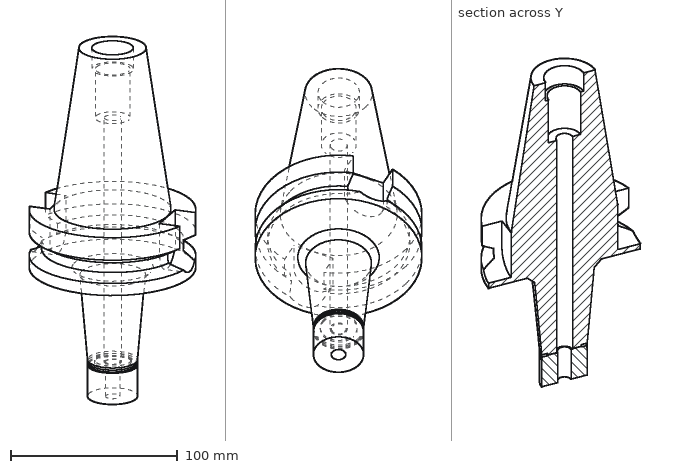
import cadquery as cq
import math

total_length = 221.8

shank_top_radius = 20.2
shank_base_radius = 35.0
taper_length = 101.8
gauge_z = total_length - taper_length
land_height = 1.0

flange_radius = 50.02
flange_top_z = gauge_z - land_height
flange_bottom_z = gauge_z - 38.0
groove_root_radius = 42.5
groove_root_bottom_z = 94.0
groove_root_top_z = 100.3
groove_flank_angle = 30.0
groove_flank_height = (flange_radius - groove_root_radius) * math.tan(math.radians(groove_flank_angle))

slot_width = 26.0
slot_floor_x = 35.3
slot_arc_center_z = 99.1

nose_base_radius = 19.7
nose_collar_height = 4.7
nose_collar_radius = nose_base_radius + nose_collar_height
nose_collar_bottom_z = flange_bottom_z - nose_collar_height
nose_bottom_z = 23.3
neck_radius = 11.0

nut_radius = 15.0
nut_height = 22.0
nut_bore_radius = 4.33
nut_groove_top_z = 20.6
nut_groove_width = 0.7
nut_groove_depth = 0.2

counterbore_radius = 12.5
counterbore_depth = 13.3
thread_bore_radius = 10.5
thread_bore_depth = 44.4
through_bore_radius = 5.0


def cylinder(radius, bottom_z, top_z):
    """Cylinder on the Z axis between two heights."""
    return cq.Workplane("XY").workplane(offset=bottom_z).circle(radius).extrude(top_z - bottom_z)


def holder_blank():
    """Revolved shank, flange, nose and neck."""
    outline = [
        (0, nut_height),
        (neck_radius, nut_height),
        (neck_radius, nose_bottom_z),
        (nut_radius, nose_bottom_z),
        (nose_base_radius, nose_collar_bottom_z),
        (nose_collar_radius, flange_bottom_z),
        (flange_radius, flange_bottom_z),
        (flange_radius, groove_root_bottom_z - groove_flank_height),
        (groove_root_radius, groove_root_bottom_z),
        (groove_root_radius, groove_root_top_z),
        (flange_radius, groove_root_top_z + groove_flank_height),
        (flange_radius, flange_top_z),
        (shank_base_radius, flange_top_z),
        (shank_base_radius, gauge_z),
        (shank_top_radius, total_length),
        (0, total_length),
    ]
    return cq.Workplane("XZ").polyline(outline).close().revolve(360, (0, 0, 0), (0, 1, 0))


def drive_slot(side):
    """Round-bottomed slot cutter on the +X (side = 1) or -X (side = -1) side."""
    half_width = slot_width / 2
    return (
        cq.Workplane("YZ", origin=(side * slot_floor_x, 0, 0))
        .moveTo(-half_width, flange_top_z)
        .lineTo(-half_width, slot_arc_center_z)
        .threePointArc((0, slot_arc_center_z - half_width), (half_width, slot_arc_center_z))
        .lineTo(half_width, flange_top_z)
        .close()
        .extrude(side * flange_radius)
    )


def stepped_bore():
    """Counterbore, thread bore and through bore cutter."""
    counterbore = cylinder(counterbore_radius, total_length - counterbore_depth, total_length)
    thread_bore = cylinder(thread_bore_radius, total_length - thread_bore_depth, total_length)
    through_bore = cylinder(through_bore_radius, nut_height, total_length)
    return counterbore.union(thread_bore).union(through_bore)


def make_holder():
    """Tool holder with two drive slots and a stepped bore."""
    body = holder_blank().cut(stepped_bore())
    for side in (-1, 1):
        body = body.cut(drive_slot(side))
    return body


def make_nut():
    """Cylindrical nut with a plain bore and a fine groove near its top."""
    groove_bottom_z = nut_groove_top_z - nut_groove_width
    groove_core = cylinder(nut_radius - nut_groove_depth, groove_bottom_z, nut_groove_top_z)
    groove = cylinder(nut_radius, groove_bottom_z, nut_groove_top_z).cut(groove_core)
    return cylinder(nut_radius, 0, nut_height).cut(groove).cut(cylinder(nut_bore_radius, 0, nut_height))


holder = make_holder()
nut = make_nut()

result = cq.Compound.makeCompound([holder.val(), nut.val()])